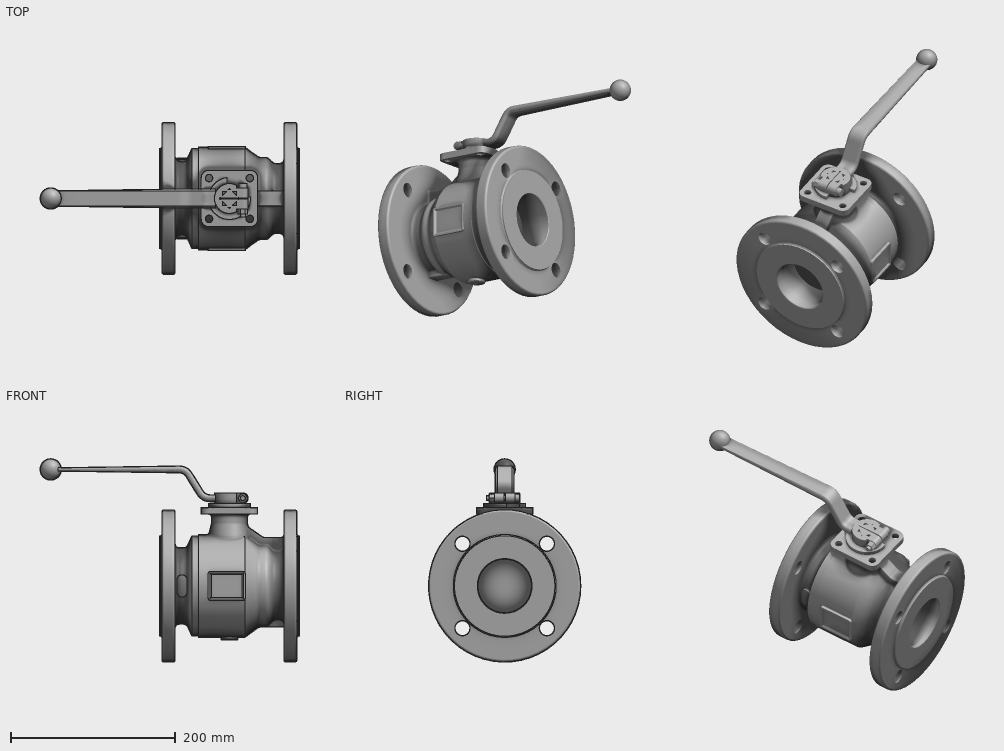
import cadquery as cq
import math


FACE_TO_FACE = 170.0
HALF_LENGTH = FACE_TO_FACE / 2

FLANGE_DIA = 185.0
FLANGE_THICKNESS = 16.0
FLANGE_EDGE_FILLET = 3.0
RAISED_HEIGHT = 3.0
RAISED_CONE_HEIGHT = 1.5
RAISED_FACE_DIA = 122.0
RAISED_BASE_DIA = 125.0
BOLT_CIRCLE_DIA = 145.0
BOLT_HOLE_DIA = 18.0
BOLT_COUNT = 4
FLANGE_OUTER_X = HALF_LENGTH - RAISED_HEIGHT
FLANGE_INNER_X = FLANGE_OUTER_X - FLANGE_THICKNESS

BORE_DIA = 65.0
BORE_DEPTH = 40.0
BORE_CHAMFER = 0.7

BODY_R = 125.0 / 2
CAP_R = 122.0 / 2
NECK_BLEND = 5.0
LEFT_NECK_R = 46.5
LEFT_NECK_END_X = -55.5
LEFT_RISE_X = -50.5
LEFT_RISE_R = 50.0
CAP_START_X = -45.5
BODY_START_X = -37.5
CONE_ANGLE = math.radians(36.0)
SHOULDER_R = 50.0
SHOULDER_X = 38.0
SHOULDER_ARC_RUN = 4.0
SHOULDER_END_X = 43.0
STEP_ANGLE = math.radians(45.0)
STEP_ARC_RUN = 5.3
RIGHT_NECK_R = 42.5

SIDE_BOSS_X = -57.5
SIDE_BOSS_R = 49.0
SIDE_BOSS_LENGTH = 27.0
SIDE_BOSS_WIDTH = 12.5

PLATE_CENTER_X = -3.3
PLATE_LENGTH = 45.0
PLATE_HEIGHT = 35.5
PLATE_BORDER = 4.0
PLATE_RIM = 2.0
PLATE_CORNER_R = 3.0
PLATE_FRAME_Y = 63.3
PLATE_FLOOR_Y = 61.5

PAD_DIA = 21.0
PAD_BOTTOM_Z = -65.7
PAD_CHAMFER = 1.0

RIB_WIDTH = 18.0
RIB_TOP_Z = 59.0
RIB_START_X = 18.0
RIB_START_Z = 75.0
RIB_BEND_X = 41.0
RIB_BOTTOM_Z = -50.0
RIB_BEND_R = 8.0
RIB_EDGE_FILLET = 1.0
LOWER_RIB_EDGE_FILLET = 1.5
RIB_FOOT_FILLET = 3.0
RIB_FOOT_DEPTH = 6.0
FLANK_TOLERANCE = 0.05

STEM_NECK_DIA = 44.0
STEM_CONE_ANGLE = math.radians(13.5)
STEM_CONE_ARC_RISE = 2.0
STEM_CONE_TOP_Z = 74.5
STEM_CONE_BOTTOM_Z = 50.0
STEM_BASE_FILLET = 3.0
TOP_PLATE_SIDE = 68.5
TOP_PLATE_BOTTOM_Z = 87.3
TOP_PLATE_TOP_Z = 95.2
TOP_PLATE_CORNER_R = 9.0
TOP_PLATE_FILLET = 4.0
TOP_HOLE_DIA = 9.0
TOP_HOLE_CIRCLE_DIA = 70.0
TOP_HOLE_COUNT = 4

STOP_DISC_R = 25.5
STOP_DISC_TOP_Z = 100.2
STOP_NOTCH_X = -3.0
STOP_NOTCH_Y = 2.0

CLAMP_Z = 106.6
CLAMP_R = 6.4
HUB_R = 18.2
HUB_TOP_Z = CLAMP_Z + CLAMP_R
HUB_FILLET = 0.7
STEM_SQUARE = 17.2
STEM_ROUND_R = 10.8
SQUARE_TURN = 45.0
STEM_POCKET_DEPTH = 3.0
DRIVER_SLOT_WIDTH = 1.5
DRIVER_SLOT_DEPTH = 1.5
CLAMP_X = 16.3
CLAMP_SHOULDER_X = 8.5
CLAMP_HALF_LENGTH = 12.5
CLAMP_SPLIT_WIDTH = 1.5
BOLT_HEAD_DIA = 10.0
BOLT_HEAD_HEIGHT = 6.0
NUT_ACROSS_FLATS = 9.8
NUT_TURN = 30.0
NUT_HEIGHT = 6.5
BOLT_DIA = 6.0
BOLT_END_Y = -22.3

BALL_R = 13.0
BALL_X = -217.0
LEVER_TOP_Z = 141.5
LEVER_HUB_Z = 106.5
LEVER_WIDTH = 23.0
LEVER_FLAT = 18.0
LEVER_THICKNESS = 8.5
LEVER_TIP_WIDTH = 19.0
LEVER_TIP_THICKNESS = 4.0
LEVER_BEND_START_X = -61.0
LEVER_BEND_R = 14.0
LEVER_SLOPE = math.radians(58.0)


def polar(radius, count):
    """Points on a circle, turned half a pitch off the axes."""
    step = 2 * math.pi / count
    return [
        (radius * math.cos((i + 0.5) * step), radius * math.sin((i + 0.5) * step))
        for i in range(count)
    ]


def x_cylinder(radius, start, length):
    return cq.Workplane("YZ").workplane(offset=start).circle(radius).extrude(length)


def z_cylinder(radius, bottom, top):
    return cq.Workplane("XY").workplane(offset=bottom).circle(radius).extrude(top - bottom)


def make_flange(side):
    """End flange with raised face and bolt holes; side is -1 (left) or +1 (right)."""
    plate = x_cylinder(FLANGE_DIA / 2, FLANGE_INNER_X, FLANGE_THICKNESS)
    plate = plate.edges().fillet(FLANGE_EDGE_FILLET)
    raised = (
        cq.Workplane("YZ").workplane(offset=FLANGE_OUTER_X).circle(RAISED_BASE_DIA / 2)
        .workplane(offset=RAISED_CONE_HEIGHT).circle(RAISED_FACE_DIA / 2).loft()
        .union(x_cylinder(RAISED_FACE_DIA / 2, FLANGE_OUTER_X, RAISED_HEIGHT))
    )
    holes = (
        cq.Workplane("YZ").workplane(offset=FLANGE_INNER_X)
        .pushPoints(polar(BOLT_CIRCLE_DIA / 2, BOLT_COUNT))
        .circle(BOLT_HOLE_DIA / 2).extrude(FLANGE_THICKNESS)
    )
    flange = plate.union(raised).cut(holes)
    return flange if side > 0 else flange.mirror("YZ")


def make_body():
    """Turned valve body between the flanges."""
    left_flat_x = -FLANGE_INNER_X + NECK_BLEND
    right_flat_x = FLANGE_INNER_X - NECK_BLEND
    cone_end_x = SHOULDER_X - SHOULDER_ARC_RUN
    cone_end_r = SHOULDER_R + SHOULDER_ARC_RUN * math.tan(CONE_ANGLE / 2)
    cone_start_x = cone_end_x - (BODY_R - cone_end_r) / math.tan(CONE_ANGLE)
    step_arc_drop = STEP_ARC_RUN * math.tan(STEP_ANGLE / 2)
    step_start_x = SHOULDER_END_X + STEP_ARC_RUN
    step_end_x = step_start_x + (SHOULDER_R - RIGHT_NECK_R - 2 * step_arc_drop) / math.tan(STEP_ANGLE)
    return (
        cq.Workplane("XY")
        .moveTo(-FLANGE_INNER_X, 0)
        .lineTo(-FLANGE_INNER_X, LEFT_NECK_R + NECK_BLEND)
        .radiusArc((left_flat_x, LEFT_NECK_R), -NECK_BLEND)
        .lineTo(LEFT_NECK_END_X, LEFT_NECK_R)
        .tangentArcPoint((LEFT_RISE_X, LEFT_RISE_R), relative=False)
        .lineTo(CAP_START_X, CAP_R)
        .lineTo(BODY_START_X, CAP_R)
        .lineTo(BODY_START_X, BODY_R)
        .lineTo(cone_start_x, BODY_R)
        .lineTo(cone_end_x, cone_end_r)
        .tangentArcPoint((SHOULDER_X, SHOULDER_R), relative=False)
        .lineTo(SHOULDER_END_X, SHOULDER_R)
        .tangentArcPoint((step_start_x, SHOULDER_R - step_arc_drop), relative=False)
        .lineTo(step_end_x, RIGHT_NECK_R + step_arc_drop)
        .tangentArcPoint((step_end_x + STEP_ARC_RUN, RIGHT_NECK_R), relative=False)
        .lineTo(right_flat_x, RIGHT_NECK_R)
        .radiusArc((FLANGE_INNER_X, RIGHT_NECK_R + NECK_BLEND), -NECK_BLEND)
        .lineTo(FLANGE_INNER_X, 0)
        .close()
        .revolve(360, (0, 0, 0), (1, 0, 0))
    )


def make_side_bosses():
    """Rounded bosses on both sides of the left neck, as patches of a larger cylinder."""
    outline = (
        cq.Workplane("XZ").center(SIDE_BOSS_X, 0)
        .slot2D(SIDE_BOSS_LENGTH, SIDE_BOSS_WIDTH, 90).extrude(BODY_R, both=True)
    )
    return outline.intersect(x_cylinder(SIDE_BOSS_R, -FLANGE_INNER_X, FLANGE_INNER_X))


def make_ribs():
    """Upper rib from stem neck to flange and lower rib along the right neck."""
    upper = (
        cq.Workplane("XZ")
        .polyline([
            (0, 0), (0, RIB_START_Z), (RIB_START_X, RIB_START_Z),
            (RIB_BEND_X, RIB_TOP_Z), (FLANGE_INNER_X, RIB_TOP_Z), (FLANGE_INNER_X, 0),
        ])
        .close().extrude(RIB_WIDTH / 2, both=True)
        .edges(cq.selectors.NearestToPointSelector((RIB_BEND_X, 0, RIB_TOP_Z))).fillet(RIB_BEND_R)
    )
    ridge = [
        cq.selectors.NearestToPointSelector((RIB_BEND_X, y, RIB_TOP_Z))
        for y in (-RIB_WIDTH / 2, RIB_WIDTH / 2)
    ]
    upper = upper.edges(ridge[0] + ridge[1]).fillet(RIB_EDGE_FILLET)
    lower = (
        cq.Workplane("XY")
        .box(FLANGE_INNER_X, RIB_WIDTH, -RIB_BOTTOM_Z, centered=(False, True, False))
        .translate((0, 0, RIB_BOTTOM_Z))
        .edges("|X and <Z").fillet(LOWER_RIB_EDGE_FILLET)
    )
    return upper.union(lower)


def rib_foot_edges(x_range, z_range):
    """Selector for edges on both flanks of the rib whose centres lie in the given ranges."""
    selectors = [
        cq.selectors.BoxSelector(
            (x_range[0], y - FLANK_TOLERANCE, z_range[0]),
            (x_range[1], y + FLANK_TOLERANCE, z_range[1]),
        )
        for y in (-RIB_WIDTH / 2, RIB_WIDTH / 2)
    ]
    return selectors[0] + selectors[1]


def blend_ribs(valve):
    """Fillets along the foot of the upper rib and up its ends."""
    foot_z = RIB_TOP_Z - RIB_FOOT_DEPTH
    stem_side = rib_foot_edges((RIB_START_X, RIB_START_X + RIB_FOOT_DEPTH), (foot_z, RIB_START_Z))
    pipe_side = rib_foot_edges((STEM_NECK_DIA / 2, FLANGE_INNER_X + FLANK_TOLERANCE), (0, foot_z))
    return valve.edges(stem_side + pipe_side).fillet(RIB_FOOT_FILLET)


def stem_cone_radii():
    """Top and bottom radius of the cone under the cylindrical stem neck."""
    top_r = STEM_NECK_DIA / 2 + STEM_CONE_ARC_RISE * math.tan(STEM_CONE_ANGLE / 2)
    bottom_r = top_r + (STEM_CONE_TOP_Z - STEM_CONE_BOTTOM_Z) * math.tan(STEM_CONE_ANGLE)
    return top_r, bottom_r


def make_stem_neck():
    """Stem neck flaring down into the body and up into the square mounting plate."""
    neck_r = STEM_NECK_DIA / 2
    cone_top_r, base_r = stem_cone_radii()
    plate_r = neck_r + TOP_PLATE_FILLET
    neck = (
        cq.Workplane("XZ")
        .moveTo(0, 0)
        .lineTo(base_r, 0)
        .lineTo(base_r, STEM_CONE_BOTTOM_Z)
        .lineTo(cone_top_r, STEM_CONE_TOP_Z)
        .tangentArcPoint((neck_r, STEM_CONE_TOP_Z + STEM_CONE_ARC_RISE), relative=False)
        .lineTo(neck_r, TOP_PLATE_BOTTOM_Z - TOP_PLATE_FILLET)
        .radiusArc((plate_r, TOP_PLATE_BOTTOM_Z), TOP_PLATE_FILLET)
        .lineTo(0, TOP_PLATE_BOTTOM_Z)
        .close()
        .revolve(360, (0, 0, 0), (0, 1, 0))
    )
    plate = (
        cq.Workplane("XY").workplane(offset=TOP_PLATE_BOTTOM_Z)
        .rect(TOP_PLATE_SIDE, TOP_PLATE_SIDE)
        .extrude(TOP_PLATE_TOP_Z - TOP_PLATE_BOTTOM_Z)
        .edges("|Z").fillet(TOP_PLATE_CORNER_R)
        .faces(">Z").workplane(origin=(0, 0, 0))
        .pushPoints(polar(TOP_HOLE_CIRCLE_DIA / 2, TOP_HOLE_COUNT)).hole(TOP_HOLE_DIA)
    )
    return neck.union(plate)


def blend_stem_neck(valve):
    """Fillet where the stem cone meets the round body."""
    half_base = stem_cone_radii()[1]
    foot = cq.selectors.BoxSelector(
        (-half_base, -half_base, STEM_CONE_BOTTOM_Z),
        (half_base, half_base, (BODY_R + STEM_CONE_TOP_Z) / 2),
        boundingbox=True,
    )
    return valve.edges(foot).fillet(STEM_BASE_FILLET)


def make_name_plates():
    """Raised rectangular frames on both sides of the body."""
    return (
        cq.Workplane("XZ").center(PLATE_CENTER_X, 0)
        .rect(PLATE_LENGTH, PLATE_HEIGHT).extrude(PLATE_FRAME_Y, both=True)
        .edges("|Y").fillet(PLATE_CORNER_R)
    )


def make_name_plate_recesses():
    """Flat windows inside the name plate frames, with sloping sides."""
    window = (
        cq.Workplane("XZ", origin=(PLATE_CENTER_X, -PLATE_FLOOR_Y, 0))
        .rect(PLATE_LENGTH - 2 * PLATE_BORDER, PLATE_HEIGHT - 2 * PLATE_BORDER)
        .workplane(offset=PLATE_FRAME_Y - PLATE_FLOOR_Y)
        .rect(PLATE_LENGTH - 2 * PLATE_RIM, PLATE_HEIGHT - 2 * PLATE_RIM)
        .loft()
    )
    return window.union(window.mirror("XZ"))


def make_drain_pad():
    return z_cylinder(PAD_DIA / 2, PAD_BOTTOM_Z, 0).faces("<Z").chamfer(PAD_CHAMFER)


def make_bores():
    """Blind bores from both ends."""
    bore = x_cylinder(BORE_DIA / 2, HALF_LENGTH - BORE_DEPTH, BORE_DEPTH)
    mouth = (
        cq.Workplane("YZ").workplane(offset=HALF_LENGTH - BORE_CHAMFER).circle(BORE_DIA / 2)
        .workplane(offset=BORE_CHAMFER).circle(BORE_DIA / 2 + BORE_CHAMFER).loft()
    )
    bore = bore.union(mouth)
    return bore.union(bore.mirror("YZ"))


def make_stop_disc():
    """Disc under the hub, cut back over one quadrant to limit the lever's swing."""
    disc = z_cylinder(STOP_DISC_R, TOP_PLATE_TOP_Z, STOP_DISC_TOP_Z)
    notch = (
        cq.Workplane("XY").workplane(offset=TOP_PLATE_TOP_Z)
        .moveTo(STOP_NOTCH_X, STOP_NOTCH_Y)
        .rect(2 * STOP_DISC_R, 2 * STOP_DISC_R, centered=False)
        .extrude(STOP_DISC_TOP_Z - TOP_PLATE_TOP_Z)
        .cut(z_cylinder(HUB_R, TOP_PLATE_TOP_Z, STOP_DISC_TOP_Z))
    )
    return disc.cut(notch)


def clamp_plane(y):
    """Plane across the clamp bolt axis, facing -Y."""
    return cq.Workplane("XZ", origin=(CLAMP_X, y, CLAMP_Z))


def make_clamp_bolt():
    """Clamp bolt with round head on the +Y side and hexagon nut on the -Y side."""
    head = (
        clamp_plane(CLAMP_HALF_LENGTH + BOLT_HEAD_HEIGHT)
        .circle(BOLT_HEAD_DIA / 2).extrude(BOLT_HEAD_HEIGHT)
    )
    nut = (
        clamp_plane(-CLAMP_HALF_LENGTH).transformed(rotate=(0, 0, NUT_TURN))
        .polygon(6, NUT_ACROSS_FLATS, circumscribed=True).extrude(NUT_HEIGHT)
    )
    shank = clamp_plane(CLAMP_HALF_LENGTH).circle(BOLT_DIA / 2).extrude(CLAMP_HALF_LENGTH - BOLT_END_Y)
    return head.union(nut).union(shank)


def make_star_gaps():
    """Gaps left between the eight-pointed hub socket and the square stem end in it."""
    bottom_z = HUB_TOP_Z - STEM_POCKET_DEPTH
    square = (
        cq.Workplane("XY").workplane(offset=bottom_z)
        .rect(STEM_SQUARE, STEM_SQUARE).extrude(STEM_POCKET_DEPTH)
    )
    diamond = square.rotate((0, 0, 0), (0, 0, 1), SQUARE_TURN)
    stem = diamond.intersect(z_cylinder(STEM_ROUND_R, bottom_z, HUB_TOP_Z))
    return square.union(diamond).cut(stem)


def make_hub():
    """Lever hub with its split clamp ear, star socket and screwdriver slot."""
    corner_x = STEM_SQUARE / math.sqrt(2)
    hub = z_cylinder(HUB_R, STOP_DISC_TOP_Z, HUB_TOP_Z).faces(">Z").edges().fillet(HUB_FILLET)
    cut_side = (
        cq.Workplane("XY").box(HUB_R, 2 * HUB_R, HUB_TOP_Z, centered=(False, True, False))
        .translate((CLAMP_SHOULDER_X, 0, 0))
    )
    web = (
        cq.Workplane("XY")
        .box(CLAMP_X, 2 * CLAMP_HALF_LENGTH, 2 * CLAMP_R, centered=(False, True, True))
        .translate((0, 0, CLAMP_Z))
    )
    ear = clamp_plane(CLAMP_HALF_LENGTH).circle(CLAMP_R).extrude(2 * CLAMP_HALF_LENGTH)
    split = (
        cq.Workplane("XY")
        .box(HUB_R, CLAMP_SPLIT_WIDTH, HUB_TOP_Z - STOP_DISC_TOP_Z, centered=(False, True, False))
        .translate((corner_x, 0, STOP_DISC_TOP_Z))
    )
    driver_slot = (
        cq.Workplane("XY").workplane(offset=HUB_TOP_Z - DRIVER_SLOT_DEPTH)
        .rect(2 * corner_x, DRIVER_SLOT_WIDTH).extrude(DRIVER_SLOT_DEPTH)
    )
    hub = hub.cut(cut_side).union(web).union(ear)
    return hub.cut(split).cut(make_star_gaps()).cut(driver_slot)


def lever_section(width, thickness):
    """Bar cross section with flat top and bottom and bulging sides."""
    flat = LEVER_FLAT / 2
    side = width / 2
    half = thickness / 2
    return (
        cq.Sketch()
        .segment((-flat, -half), (flat, -half))
        .arc((flat, -half), (side, 0), (flat, half))
        .segment((flat, half), (-flat, half))
        .arc((-flat, half), (-side, 0), (-flat, -half))
        .assemble()
    )


def make_lever():
    """Flattened lever bar: tapered grip, double bend down to the hub, ball at the end."""
    start = (LEVER_BEND_START_X, LEVER_TOP_Z)
    sin_s = math.sin(LEVER_SLOPE)
    cos_s = math.cos(LEVER_SLOPE)
    drop = LEVER_TOP_Z - LEVER_HUB_Z
    bend_drop = LEVER_BEND_R * (1 - cos_s)
    ramp = (drop - 2 * bend_drop) / sin_s
    bend_1 = (start[0] + LEVER_BEND_R * sin_s, start[1] - bend_drop)
    bend_2 = (bend_1[0] + ramp * cos_s, LEVER_HUB_Z + bend_drop)
    flat = (bend_2[0] + LEVER_BEND_R * sin_s, LEVER_HUB_Z)
    path = (
        cq.Workplane("XZ").moveTo(*start)
        .radiusArc(bend_1, LEVER_BEND_R)
        .lineTo(*bend_2)
        .radiusArc(flat, -LEVER_BEND_R)
        .lineTo(-STEM_SQUARE, LEVER_HUB_Z)
    )
    bar = lever_section(LEVER_WIDTH, LEVER_THICKNESS)
    tip = lever_section(LEVER_TIP_WIDTH, LEVER_TIP_THICKNESS)
    start_plane = cq.Workplane("YZ", origin=(start[0], 0, LEVER_TOP_Z))
    bends = start_plane.placeSketch(bar).sweep(path)
    grip = (
        cq.Workplane("YZ", origin=(BALL_X, 0, LEVER_TOP_Z))
        .placeSketch(tip, bar.moved(cq.Location(cq.Vector(0, 0, start[0] - BALL_X)))).loft()
    )
    ball = cq.Workplane("XY").sphere(BALL_R).translate((BALL_X, 0, LEVER_TOP_Z))
    return bends.union(grip).union(ball)


valve_body = blend_stem_neck(make_body().union(make_stem_neck()))
for flange_side in (-1, 1):
    valve_body = valve_body.union(make_flange(flange_side))
valve_body = blend_ribs(valve_body.union(make_ribs()))
valve_body = valve_body.union(make_name_plates()).union(make_drain_pad()).union(make_side_bosses())
valve_body = valve_body.cut(make_name_plate_recesses()).cut(make_bores())
result = valve_body.union(make_stop_disc()).union(make_hub())
result = result.union(make_clamp_bolt()).union(make_lever())